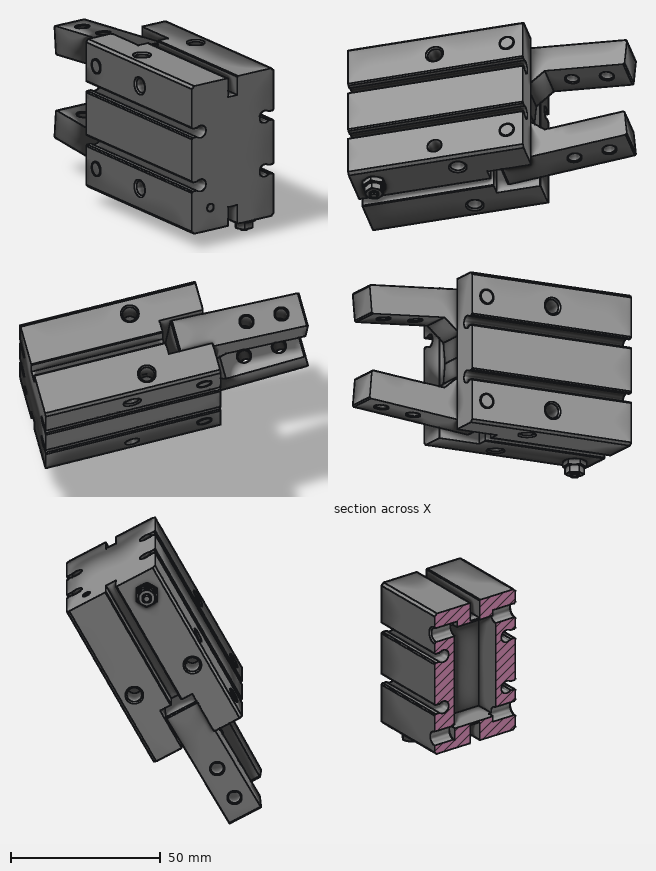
import cadquery as cq
import math

BODY_LENGTH = 60.3
BODY_WIDTH = 33.6
BODY_HEIGHT = 52.0
BODY_CHAMFER = 0.9
HALF_WIDTH = BODY_WIDTH / 2
HALF_HEIGHT = BODY_HEIGHT / 2

JAW_SLOT_WIDTH = 12.3
JAW_SLOT_LENGTH = 15.1
JAW_SLOT_CHAMFER = 0.2
GUIDE_SLOT_WIDTH = 3.7
GUIDE_SLOT_DEPTH = 6.6
GUIDE_SLOT_CHAMFER = 0.3

GROOVE_Z = 9.45
GROOVE_MOUTH = 3.2
GROOVE_RADIUS = 2.15
GROOVE_DEPTH = 5.8
GROOVE_CHAMFER = 0.5
NECK_START = 2.0
NECK_END = 2.9

MOUNT_HOLE_DIAMETER = 5.0
MOUNT_HOLE_CHAMFER = 0.6
MOUNT_HOLE_DEPTH = 9.4
SIDE_HOLE_X = 30.5
TOP_HOLE_X = 23.95
TOP_HOLE_Y = 11.0

CHAMBER_WIDTH = 16.8
CHAMBER_HEIGHT = 37.0
CHAMBER_LENGTH = 18.7
LOW_HOLE_Z = -20.0

SCREW_X = 53.2
SCREW_Y = 9.7
LOCK_NUT_FLATS = 7.0
LOCK_NUT_HEIGHT = 2.0
SCREW_HEAD_FLATS = 5.6
SCREW_HEAD_HEIGHT = 2.5
SCREW_TIP_DIAMETER = 3.1
SCREW_TIP_HEIGHT = 0.9
SCREW_TIP_CHAMFER = 0.5
NUT_CHAMFER_ANGLE = 20
HEXAGON_TURN = 30
PLUG_DIAMETER = 2.7
PLUG_HEIGHT = 0.22
PLUG_Y = -9.3

PIVOT_X = 5.6
PIVOT_Z = 18.1
PIN_DIAMETER = 5.05
PIN_CHAMFER = 0.3

JAW_OPENING_ANGLE = 5
JAW_WIDTH = 12.0
ARM_HALF_HEIGHT = 5.0
ARM_LENGTH = 38.4
REAR_LENGTH = 6.1
LEVER_FRONT = 5.1
GUSSET_SIZE = 5.6
JAW_CHAMFER = 0.5
JAW_HOLE_DIAMETER = 4.2
JAW_HOLE_CHAMFER = 0.4
JAW_HOLE_TIP_DISTANCE = 7.7
JAW_HOLE_SPACING = 12.1
JAW_HOLE_COUNT = 2

SIDES = (-1, 1)


def block(x_start, length, width, height):
    """Box that starts at x_start and is centred in y and z."""
    box = cq.Workplane("XY").box(length, width, height, centered=(False, True, True))
    return box.translate((x_start, 0, 0))


def chamfered_hole(point, direction, diameter, depth, chamfer):
    """Cutter for a flat-bottomed hole with a chamfered mouth."""
    start = cq.Vector(*point)
    axis = cq.Vector(*direction)
    radius = diameter / 2
    drill = cq.Solid.makeCylinder(radius, depth, start, axis)
    mouth = cq.Solid.makeCone(radius + chamfer, radius, chamfer, start, axis)
    return cq.Workplane(drill.fuse(mouth))


def groove_cutter(side, z):
    """Keyhole groove as long as the housing, with a chamfered mouth and a neck that slopes into the bore."""
    half_mouth = GROOVE_MOUTH / 2
    axis_depth = GROOVE_DEPTH - GROOVE_RADIUS
    half_neck = math.sqrt(GROOVE_RADIUS**2 - (axis_depth - NECK_END) ** 2)
    half_profile = [
        (0, half_mouth + GROOVE_CHAMFER),
        (GROOVE_CHAMFER, half_mouth),
        (NECK_START, half_mouth),
        (NECK_END, half_neck),
    ]
    upper = [(side * (HALF_WIDTH - depth), z + height) for depth, height in half_profile]
    lower = [(side * (HALF_WIDTH - depth), z - height) for depth, height in reversed(half_profile)]
    mouth = cq.Workplane("YZ").polyline(upper + lower).close().extrude(BODY_LENGTH)
    bore = (
        cq.Workplane("YZ")
        .center(side * (HALF_WIDTH - axis_depth), z)
        .circle(GROOVE_RADIUS)
        .extrude(BODY_LENGTH)
    )
    return bore.union(mouth)


def jaw_slot_cutter():
    """Open slot for the jaws, its mouth chamfered at the front face."""
    half_slot = JAW_SLOT_WIDTH / 2
    return (
        cq.Workplane("XY")
        .polyline([
            (0, -half_slot - JAW_SLOT_CHAMFER),
            (JAW_SLOT_CHAMFER, -half_slot),
            (JAW_SLOT_LENGTH, -half_slot),
            (JAW_SLOT_LENGTH, half_slot),
            (JAW_SLOT_CHAMFER, half_slot),
            (0, half_slot + JAW_SLOT_CHAMFER),
        ])
        .close()
        .extrude(HALF_HEIGHT, both=True)
    )


def guide_slot_cutter(side):
    """Narrow slot behind the jaw slot, in the top (+1) or bottom (-1) face, with chamfered edges."""
    half_slot = GUIDE_SLOT_WIDTH / 2
    face_z = side * HALF_HEIGHT
    chamfer_z = side * (HALF_HEIGHT - GUIDE_SLOT_CHAMFER)
    floor_z = side * (HALF_HEIGHT - GUIDE_SLOT_DEPTH)
    return (
        cq.Workplane("YZ", origin=(JAW_SLOT_LENGTH, 0, 0))
        .polyline([
            (-half_slot - GUIDE_SLOT_CHAMFER, face_z),
            (-half_slot, chamfer_z),
            (-half_slot, floor_z),
            (half_slot, floor_z),
            (half_slot, chamfer_z),
            (half_slot + GUIDE_SLOT_CHAMFER, face_z),
        ])
        .close()
        .extrude(BODY_LENGTH - JAW_SLOT_LENGTH)
    )


def mount_hole(point, direction, depth=MOUNT_HOLE_DEPTH):
    return chamfered_hole(point, direction, MOUNT_HOLE_DIAMETER, depth, MOUNT_HOLE_CHAMFER)


def hexagon_nut(flats, top_z, height):
    """Hexagon with a flat toward -X and both ends turned down by a cone."""
    corner_radius = flats / 2 / math.cos(math.radians(HEXAGON_TURN))
    corner_excess = corner_radius - flats / 2
    prism = (
        cq.Workplane("XY")
        .polygon(6, 2 * corner_radius)
        .extrude(-height)
        .rotate((0, 0, 0), (0, 0, 1), HEXAGON_TURN)
    )
    turned = (
        cq.Workplane("XY")
        .circle(corner_radius)
        .extrude(-height)
        .edges()
        .chamfer(corner_excess * math.tan(math.radians(NUT_CHAMFER_ANGLE)), corner_excess)
    )
    return prism.intersect(turned).translate((SCREW_X, SCREW_Y, top_z))


def adjusting_screw():
    """Lock nut, screw head and screw tip stacked below the housing."""
    head_top = -HALF_HEIGHT - LOCK_NUT_HEIGHT
    tip_top = head_top - SCREW_HEAD_HEIGHT
    tip = (
        cq.Workplane("XY", origin=(SCREW_X, SCREW_Y, tip_top))
        .circle(SCREW_TIP_DIAMETER / 2)
        .extrude(-SCREW_TIP_HEIGHT)
        .faces("<Z")
        .chamfer(SCREW_TIP_CHAMFER)
    )
    lock_nut = hexagon_nut(LOCK_NUT_FLATS, -HALF_HEIGHT, LOCK_NUT_HEIGHT)
    head = hexagon_nut(SCREW_HEAD_FLATS, head_top, SCREW_HEAD_HEIGHT)
    return lock_nut.union(head).union(tip)


def pivot_pin():
    """Pin along Y through the origin, as long as the housing is wide, with chamfered ends."""
    return (
        cq.Workplane("XZ")
        .circle(PIN_DIAMETER / 2)
        .extrude(HALF_WIDTH, both=True)
        .faces("<Y or >Y")
        .chamfer(PIN_CHAMFER)
    )


def make_housing():
    housing = block(0, BODY_LENGTH, BODY_WIDTH, BODY_HEIGHT).edges("|X").chamfer(BODY_CHAMFER)
    housing = housing.cut(jaw_slot_cutter())
    chamber_start = SIDE_HOLE_X - CHAMBER_LENGTH / 2
    housing = housing.cut(block(chamber_start, CHAMBER_LENGTH, CHAMBER_WIDTH, CHAMBER_HEIGHT))

    for side in SIDES:
        housing = housing.cut(guide_slot_cutter(side))
        for level in SIDES:
            housing = housing.cut(groove_cutter(side, level * GROOVE_Z))
            top_point = (TOP_HOLE_X, side * TOP_HOLE_Y, level * HALF_HEIGHT)
            housing = housing.cut(mount_hole(top_point, (0, 0, -level)))

    for side, z in ((-1, PIVOT_Z), (-1, -PIVOT_Z), (1, PIVOT_Z)):
        housing = housing.cut(mount_hole((SIDE_HOLE_X, side * HALF_WIDTH, z), (0, -side, 0)))
    chamber_wall = (SIDE_HOLE_X, CHAMBER_WIDTH / 2, LOW_HOLE_Z)
    housing = housing.cut(mount_hole(chamber_wall, (0, 1, 0), HALF_WIDTH - CHAMBER_WIDTH / 2))

    for level in SIDES:
        pin_hole = (
            cq.Workplane("XZ")
            .center(PIVOT_X, level * PIVOT_Z)
            .circle(PIN_DIAMETER / 2)
            .extrude(HALF_WIDTH, both=True)
        )
        housing = housing.cut(pin_hole)

    plug = (
        cq.Workplane("YZ", origin=(BODY_LENGTH, 0, 0))
        .center(PLUG_Y, -PIVOT_Z)
        .circle(PLUG_DIAMETER / 2)
        .extrude(PLUG_HEIGHT)
    )
    return housing.union(plug).union(adjusting_screw())


def lever_bottom(x):
    """Height at x of the lever's end, which lies in the middle plane once the jaw is swung open."""
    opening = math.radians(JAW_OPENING_ANGLE)
    return -(PIVOT_Z + x * math.sin(opening)) / math.cos(opening)


def make_jaw(level):
    """Upper (+1) or lower (-1) jaw with its pivot pin, swung open about the pin."""
    jaw = (
        cq.Workplane("XZ")
        .polyline([
            (-ARM_LENGTH + JAW_CHAMFER, ARM_HALF_HEIGHT),
            (REAR_LENGTH - JAW_CHAMFER, ARM_HALF_HEIGHT),
            (REAR_LENGTH, ARM_HALF_HEIGHT - JAW_CHAMFER),
            (REAR_LENGTH, lever_bottom(REAR_LENGTH) + JAW_CHAMFER),
            (REAR_LENGTH - JAW_CHAMFER, lever_bottom(REAR_LENGTH - JAW_CHAMFER)),
            (-LEVER_FRONT, lever_bottom(-LEVER_FRONT)),
            (-LEVER_FRONT, -ARM_HALF_HEIGHT - GUSSET_SIZE),
            (-LEVER_FRONT - GUSSET_SIZE, -ARM_HALF_HEIGHT),
            (-ARM_LENGTH + JAW_CHAMFER, -ARM_HALF_HEIGHT),
            (-ARM_LENGTH, -ARM_HALF_HEIGHT + JAW_CHAMFER),
            (-ARM_LENGTH, ARM_HALF_HEIGHT - JAW_CHAMFER),
        ])
        .close()
        .extrude(JAW_WIDTH / 2, both=True)
    )
    for number in range(JAW_HOLE_COUNT):
        hole_x = -ARM_LENGTH + JAW_HOLE_TIP_DISTANCE + number * JAW_HOLE_SPACING
        for side in SIDES:
            hole = chamfered_hole(
                (hole_x, 0, side * ARM_HALF_HEIGHT),
                (0, 0, -side),
                JAW_HOLE_DIAMETER,
                2 * ARM_HALF_HEIGHT,
                JAW_HOLE_CHAMFER,
            )
            jaw = jaw.cut(hole)
    jaw = jaw.union(pivot_pin())
    jaw = jaw.rotate((0, 0, 0), (0, 1, 0), -JAW_OPENING_ANGLE)
    if level < 0:
        jaw = jaw.mirror("XY")
    return jaw.translate((PIVOT_X, 0, level * PIVOT_Z))


housing = make_housing()
jaws = [make_jaw(level) for level in SIDES]

result = cq.Compound.makeCompound([housing.val(), *[jaw.val() for jaw in jaws]])